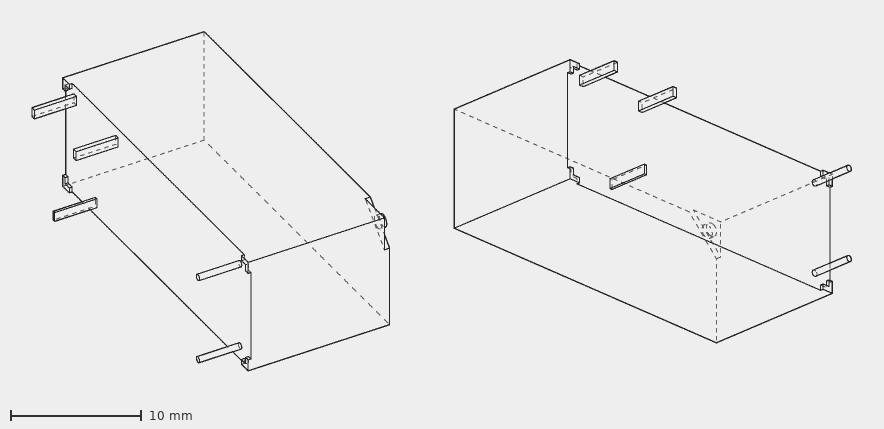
import cadquery as cq

LENGTH = 28.5
TOTAL_DEPTH = 15.9
HEIGHT = 10.1
CASE_DEPTH = 12.2

FOOT_HEIGHT = 0.25
FOOT_REACH = 1.03
FOOT_THICK_X = 0.37
FOOT_THICK_Z = 0.45

RECESS_LEG = 2.95
RECESS_DEPTH = 0.45
BOSS_RADIUS = 0.555
BOSS_INSET = 1.0

PIN_LENGTH = TOTAL_DEPTH - CASE_DEPTH
PIN_ROW_INSET = 1.23
BLADE_WIDTH = 0.83
BLADE_THICKNESS = 0.4
THIN_BLADE_THICKNESS = 0.23
FIRST_BLADE_X = 1.48
BLADE_SPACING = 6.4
ROUND_PIN_DIAMETER = 0.5
ROUND_PIN_X = LENGTH - 1.68

LOWER_ROW_Z = PIN_ROW_INSET
UPPER_ROW_Z = HEIGHT - PIN_ROW_INSET
CENTER = (LENGTH / 2, 0, HEIGHT / 2)


def plane_facing_front(y):
    """XZ sketch plane at depth y; extrusions go toward -Y."""
    return cq.Workplane("XZ", origin=(0, y, 0))


def make_feet():
    """L-shaped foot at one corner, mirrored to the other three."""
    foot = (
        plane_facing_front(0)
        .polyline([
            (0, 0),
            (FOOT_REACH, 0),
            (FOOT_REACH, FOOT_THICK_Z),
            (FOOT_THICK_X, FOOT_THICK_Z),
            (FOOT_THICK_X, FOOT_REACH),
            (0, FOOT_REACH),
        ])
        .close()
        .extrude(FOOT_HEIGHT)
    )
    pair = foot.union(foot.mirror("YZ", CENTER))
    return pair.union(pair.mirror("XY", CENTER))


def make_corner_recess():
    """Cutter for the triangular recess, with the boss left out of it."""
    triangle = (
        plane_facing_front(CASE_DEPTH)
        .polyline([
            (LENGTH - RECESS_LEG, HEIGHT),
            (LENGTH, HEIGHT),
            (LENGTH, HEIGHT - RECESS_LEG),
        ])
        .close()
        .extrude(RECESS_DEPTH)
    )
    boss = (
        plane_facing_front(CASE_DEPTH)
        .center(LENGTH - BOSS_INSET, HEIGHT - BOSS_INSET)
        .circle(BOSS_RADIUS)
        .extrude(RECESS_DEPTH)
    )
    return triangle.cut(boss)


def make_blade(x, z, thickness):
    return plane_facing_front(0).center(x, z).rect(thickness, BLADE_WIDTH).extrude(PIN_LENGTH)


def make_round_pin(x, z):
    return plane_facing_front(0).center(x, z).circle(ROUND_PIN_DIAMETER / 2).extrude(PIN_LENGTH)


case = cq.Workplane("XY").box(LENGTH, CASE_DEPTH, HEIGHT, centered=False)
result = case.union(make_feet()).cut(make_corner_recess())

for blade_x in (FIRST_BLADE_X, FIRST_BLADE_X + BLADE_SPACING):
    result = result.union(make_blade(blade_x, UPPER_ROW_Z, BLADE_THICKNESS))

thin_blade_x = FIRST_BLADE_X + BLADE_SPACING / 2
result = result.union(make_blade(thin_blade_x, LOWER_ROW_Z, THIN_BLADE_THICKNESS))

for row_z in (LOWER_ROW_Z, UPPER_ROW_Z):
    result = result.union(make_round_pin(ROUND_PIN_X, row_z))